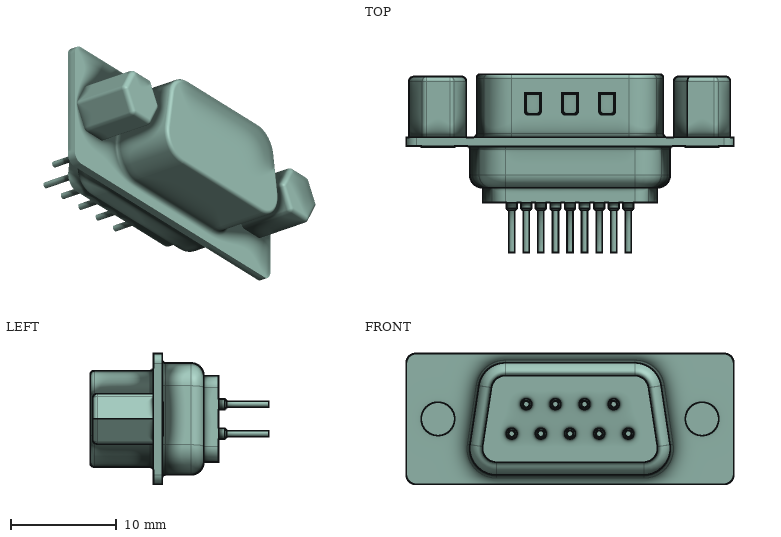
import cadquery as cq
import math


FLANGE_WIDTH = 31.0
FLANGE_HEIGHT = 12.4
FLANGE_THICKNESS = 0.85
FLANGE_CORNER = 0.93

REAR_TOP_HALF = 6.15
REAR_BOTTOM_HALF = 6.98
REAR_HALF_HEIGHT = 2.8
FRONT_TOP_HALF = 5.58
FRONT_BOTTOM_HALF = 6.23
FRONT_HALF_HEIGHT = 1.95

FRONT_CORNER = 2.6
FRONT_END = 6.82
FRONT_ROUND = 0.37
FRONT_ROOT = 0.37

REAR_CORNER = 2.5
REAR_DEPTH = 3.95
REAR_ROUND = 1.25
REAR_ROOT = 0.28
INSULATOR_CORNER = 1.3
INSULATOR_DEPTH = 5.33

DIMPLE_COUNT = 3
DIMPLE_PITCH = 3.5
DIMPLE_WIDTH = 1.55
DIMPLE_LENGTH = 2.08
DIMPLE_MIDDLE = 4.0
DIMPLE_CORNER = 0.37
DIMPLE_DEPTH = 0.12
DIMPLE_TAPER = 45.0

STANDOFF_SPACING = 25.0
STANDOFF_FLATS = 4.77
STANDOFF_END = 6.6
STANDOFF_ROUND = 0.45
RIVET_DIAMETER = 3.15
RIVET_HEIGHT = 0.1

PIN_PITCH = 2.75
PIN_ROW_SPACING = 2.8
PIN_ROWS = ((4, PIN_ROW_SPACING / 2), (5, -PIN_ROW_SPACING / 2))
PIN_DIAMETER = 0.6
PIN_END = 10.08
COLLAR_DIAMETER = 1.02
COLLAR_LENGTH = 0.75
COLLAR_CHAMFER = 0.2


def sketch_at(y):
    """Sketch plane at height y with X to the right and Z up; extrusions run toward -Y."""
    return cq.Workplane("XZ", origin=(0, y, 0))


def centred_row(count, pitch):
    """X positions of a row of equally spaced items centred on X = 0."""
    return [(i - (count - 1) / 2) * pitch for i in range(count)]


def d_prism(top_half, bottom_half, half_height, corner, y_front, y_rear):
    """Prism of a D outline: a trapezoid grown outward by the corner radius."""
    corner_centres = [
        (-top_half, half_height),
        (top_half, half_height),
        (bottom_half, -half_height),
        (-bottom_half, -half_height),
    ]
    outline = sketch_at(y_front).polyline(corner_centres).close().offset2D(corner)
    return outline.extrude(y_front - y_rear)


def rear_prism(corner, depth):
    """Prism on the rear D outline, reaching from the flange to the given depth."""
    return d_prism(REAR_TOP_HALF, REAR_BOTTOM_HALF, REAR_HALF_HEIGHT, corner, FLANGE_THICKNESS, -depth)


def flange():
    plate = sketch_at(FLANGE_THICKNESS).rect(FLANGE_WIDTH, FLANGE_HEIGHT).extrude(FLANGE_THICKNESS)
    return plate.edges("|Y").fillet(FLANGE_CORNER)


def front_shell():
    shell = d_prism(FRONT_TOP_HALF, FRONT_BOTTOM_HALF, FRONT_HALF_HEIGHT, FRONT_CORNER, FRONT_END, 0)
    return shell.faces(">Y").edges().fillet(FRONT_ROUND)


def rear_shell():
    return rear_prism(REAR_CORNER, REAR_DEPTH).faces("<Y").edges().fillet(REAR_ROUND)


def round_root(body, y_face, radius):
    """Fillet the closed edge where a shell wall meets the flange face at y_face."""
    reach = 0.03
    half_width = FLANGE_WIDTH / 2 - FLANGE_CORNER
    half_height = FLANGE_HEIGHT / 2 - reach
    root_edges = cq.selectors.BoxSelector(
        (-half_width, y_face - reach, -half_height),
        (half_width, y_face + reach, half_height),
    )
    return body.edges(root_edges).fillet(radius)


def dimple(x):
    """Cutter for one dimple: square corners toward the mating end, round ones toward the flange."""
    half_width = DIMPLE_WIDTH / 2
    half_length = DIMPLE_LENGTH / 2
    top_z = FRONT_HALF_HEIGHT + FRONT_CORNER
    diagonal = DIMPLE_CORNER * (1 - math.sqrt(0.5))
    return (
        cq.Workplane("XY", origin=(x, DIMPLE_MIDDLE, top_z))
        .moveTo(-half_width, half_length)
        .lineTo(half_width, half_length)
        .lineTo(half_width, DIMPLE_CORNER - half_length)
        .threePointArc(
            (half_width - diagonal, diagonal - half_length),
            (half_width - DIMPLE_CORNER, -half_length),
        )
        .lineTo(DIMPLE_CORNER - half_width, -half_length)
        .threePointArc(
            (diagonal - half_width, diagonal - half_length),
            (-half_width, DIMPLE_CORNER - half_length),
        )
        .close()
        .extrude(-DIMPLE_DEPTH, taper=DIMPLE_TAPER)
    )


def standoff(x, sharp_corner):
    """Hexagonal standoff; all its long corners are rounded except the one selected."""
    corner_diameter = STANDOFF_FLATS / math.cos(math.radians(30))
    hexagon = sketch_at(STANDOFF_END).center(x, 0).polygon(6, corner_diameter).extrude(STANDOFF_END)
    sharp_edge = cq.selectors.StringSyntaxSelector(sharp_corner)
    rounded_edges = cq.selectors.StringSyntaxSelector("|Y") - sharp_edge
    return hexagon.edges(rounded_edges).fillet(STANDOFF_ROUND).faces(">Y").edges().fillet(STANDOFF_ROUND)


def rivet(x):
    return sketch_at(0).center(x, 0).circle(RIVET_DIAMETER / 2).extrude(RIVET_HEIGHT)


def pin(x, z):
    """Round solder pin with a chamfered collar at the insulator face."""
    collar = (
        sketch_at(-INSULATOR_DEPTH)
        .center(x, z)
        .circle(COLLAR_DIAMETER / 2)
        .extrude(COLLAR_LENGTH)
        .faces("<Y")
        .chamfer(COLLAR_CHAMFER)
    )
    lead = sketch_at(-INSULATOR_DEPTH).center(x, z).circle(PIN_DIAMETER / 2)
    return collar.union(lead.extrude(PIN_END - INSULATOR_DEPTH))


result = flange().union(front_shell()).union(rear_shell())
result = round_root(result, 0, REAR_ROOT)
result = round_root(result, FLANGE_THICKNESS, FRONT_ROOT)
result = result.union(rear_prism(INSULATOR_CORNER, INSULATOR_DEPTH))

for dimple_x in centred_row(DIMPLE_COUNT, DIMPLE_PITCH):
    result = result.cut(dimple(dimple_x))

left_x, right_x = centred_row(2, STANDOFF_SPACING)
result = result.union(standoff(left_x, "<X")).union(standoff(right_x, ">(-1,0,2)"))
result = result.union(rivet(left_x)).union(rivet(right_x))

for pin_count, pin_z in PIN_ROWS:
    for pin_x in centred_row(pin_count, PIN_PITCH):
        result = result.union(pin(pin_x, pin_z))